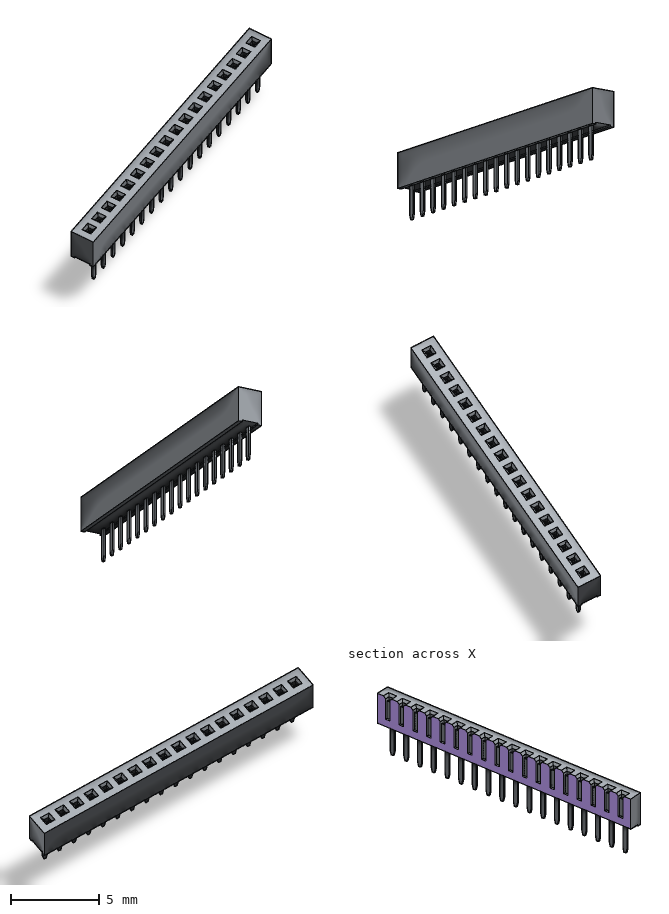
import cadquery as cq

contact_count = 18
end_margin_pitches = 0.75
housing_width = 1.5
housing_length = 18.5
total_height = 4.0
housing_height = 2.09
channel_width = 1.0
channel_depth = 0.1

funnel_mouth = 0.6
funnel_throat = 0.3
funnel_depth = 0.15
bore_depth = 1.48
blade_thickness = 0.07
blade_drop = 0.18

tail_width = 0.3
tail_thickness = 0.11
tail_offset = 0.3
tail_tip_width = 0.15
tail_taper_height = 0.3

pitch = housing_length / (contact_count - 1 + 2 * end_margin_pitches)
housing_bottom = total_height - housing_height
channel_roof = housing_bottom + channel_depth
contact_places = [(i - (contact_count - 1) / 2) * pitch for i in range(contact_count)]


def make_housing():
    """Bar with a shallow channel running along its underside."""
    bar = cq.Workplane("XY").box(
        housing_width, housing_length, housing_height, centered=(True, True, False)
    )
    channel = cq.Workplane("XY").box(
        channel_width, housing_length, channel_depth, centered=(True, True, False)
    )
    return bar.cut(channel).translate((0, 0, housing_bottom))


def make_socket(y):
    """Space of one socket: tapered mouth, then a straight bore split by a blade."""
    funnel = (
        cq.Workplane("XY", origin=(0, y, total_height))
        .rect(funnel_mouth, funnel_mouth)
        .workplane(offset=-funnel_depth)
        .rect(funnel_throat, funnel_throat)
        .loft(ruled=True)
    )
    bore_floor = cq.Workplane("XY", origin=(0, y, total_height - bore_depth))
    bore_height = bore_depth - funnel_depth
    bore = bore_floor.rect(funnel_throat, funnel_throat).extrude(bore_height)
    blade = bore_floor.rect(blade_thickness, funnel_throat).extrude(bore_height - blade_drop)
    return funnel.union(bore).cut(blade)


def make_tail(y):
    """Flat solder tail with a tapered tip, hanging from the channel roof."""
    outline = [
        (y - tail_width / 2, channel_roof),
        (y - tail_width / 2, tail_taper_height),
        (y - tail_tip_width / 2, 0),
        (y + tail_tip_width / 2, 0),
        (y + tail_width / 2, tail_taper_height),
        (y + tail_width / 2, channel_roof),
    ]
    return (
        cq.Workplane("YZ", origin=(tail_offset - tail_thickness / 2, 0, 0))
        .polyline(outline)
        .close()
        .extrude(tail_thickness)
    )


result = make_housing()
for place in contact_places:
    result = result.cut(make_socket(place))
    result = result.union(make_tail(place))